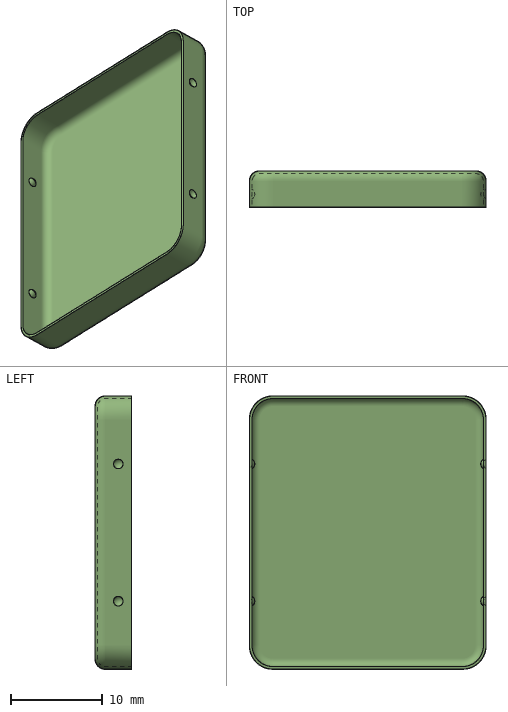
import cadquery as cq

width = 25.9
depth = 4.0
height = 29.9
wall = 0.3
corner_radius = 2.6
back_edge_radius = 1.15

dimple_opening_radius = 0.52
dimple_depth = 0.3
dimple_radius = (dimple_opening_radius**2 + dimple_depth**2) / (2 * dimple_depth)
dimple_center_x = width / 2 - dimple_depth + dimple_radius
bump_center_x = dimple_center_x - wall
dimple_spacing = 15.0
dimple_from_rim = 1.45


def rounded_block(inset):
    """Block with rounded corners and back edge, shrunk by inset on all sides but the open one."""
    block = cq.Workplane("XY").box(width - 2 * inset, depth - inset, height - 2 * inset)
    block = block.translate((0, (depth - inset) / 2, 0))
    block = block.edges("|Y").fillet(corner_radius - inset)
    return block.faces(">Y").edges().fillet(back_edge_radius - inset)


def dimple_balls(center_x):
    """Balls at both ends of both side walls, at a distance center_x from the middle plane."""
    profile = cq.Workplane("XY").moveTo(-dimple_radius, 0)
    profile = profile.threePointArc((0, dimple_radius), (dimple_radius, 0)).close()
    ball = profile.revolve(360, (0, 0, 0), (1, 0, 0))
    centers = [
        (side * center_x, dimple_from_rim, end * dimple_spacing / 2)
        for side in (-1, 1)
        for end in (-1, 1)
    ]
    balls = [ball.val().translate(cq.Vector(*center)) for center in centers]
    return cq.Workplane(cq.Compound.makeCompound(balls))


shell = rounded_block(0).cut(rounded_block(wall))
bumps = rounded_block(0).intersect(dimple_balls(bump_center_x))
result = shell.union(bumps).cut(dimple_balls(dimple_center_x))